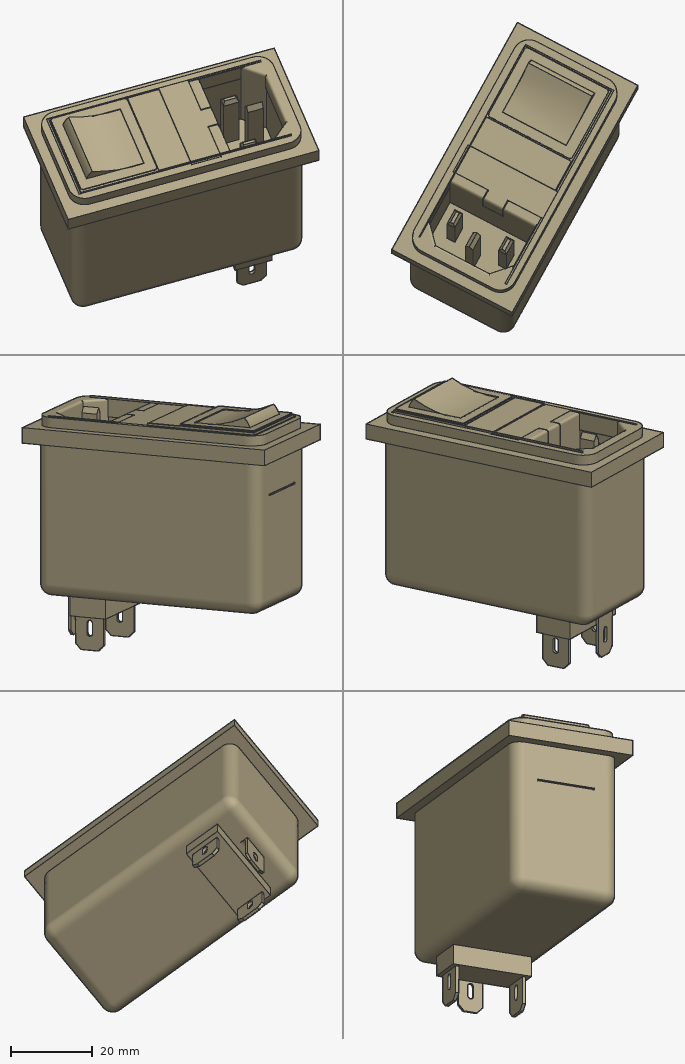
import cadquery as cq


flange_width, flange_length, flange_thickness = 33.4, 64.8, 3.9
bezel_width, bezel_length, bezel_radius = 27.85, 59.7, 4.1
bezel_top = 2.5
can_width, can_length, can_bottom = 28.3, 59.35, -42.25
can_radius = 3.0
rear_slot_width, rear_slot_height, rear_slot_depth = 15.15, 0.4, 0.65
rear_slot_z = -13.15

block_width, block_length, block_height = 21.1, 9.6, 5.05
pin_row_y = 17.6
block_bottom = can_bottom - block_height
line_terminal_x, line_terminal_bottom = 9.0, -55.7
line_terminal_width, line_terminal_thickness = 7.5, 0.85
line_slot_z = -50.2
earth_terminal_y, earth_terminal_bottom = 25.7, -54.0
earth_terminal_width, earth_terminal_thickness = 6.55, 0.65
earth_slot_z = -48.6
terminal_chamfer = 1.5
terminal_slot_length, terminal_slot_width = 3.95, 1.5
earth_bend_radius = 1.5

cavity_half_width = 11.8
cavity_front_y, cavity_back_y = 11.35, 26.9
cavity_corner_x, cavity_corner_y = 4.35, 4.7
cavity_floor = -18.15
cavity_step_z = -1.95
cavity_side_step, cavity_back_step = 0.05, 0.25
mouth_radius = 0.65
pin_length_y = 4.0
line_pin_x, line_pin_width, line_pin_top = 7.1, 2.15, -2.0
line_pin_tip_width, line_pin_tip_length, line_pin_tip_height = 0.85, 3.05, 1.1
earth_pin_y, earth_pin_width, earth_pin_top = 21.45, 2.0, 2.85
earth_pin_tip_height = 1.4

pocket_floor = -3.9
insert_half_width = 12.0
insert_front_y, insert_back_y = -27.5, 1.0
insert_top = 3.0
rail_end_y = 26.95
label_recess_depth, label_recess_front_y = 0.1, -7.25
groove_side_x, groove_front_y, groove_end_y = -12.45, -27.9, 27.35
groove_depth = 0.1

drawer_half_width, drawer_back_y = 12.45, 8.6
nose_half_width, nose_gap = 2.65, 0.2

frame_half_width, frame_top = 11.6, 3.45
frame_front_y, frame_back_y = -27.3, -7.5
frame_overhang, frame_corner = 0.25, 0.45
rocker_width, rocker_front_y, rocker_back_y = 17.6, -24.95, -10.1
rocker_low_z = 3.2
rocker_dip_y = -15.75
rocker_crest_y, rocker_crest_z = -23.45, 5.75
rocker_nose_y, rocker_nose_z = -24.4, 4.6


def box(x_range, y_range, z_range):
    """Block spanning the given (low, high) ranges."""
    sides = [high - low for low, high in (x_range, y_range, z_range)]
    corner = (x_range[0], y_range[0], z_range[0])
    return cq.Workplane("XY").box(*sides, centered=False).translate(corner)


def outer_shell():
    """Flange with the raised bezel above it and the round-edged can below it."""
    flange = cq.Workplane("XY").rect(flange_width, flange_length).extrude(-flange_thickness)
    bezel = cq.Workplane("XY").rect(bezel_width, bezel_length).extrude(bezel_top)
    bezel = bezel.edges("|Z").fillet(bezel_radius)
    can = cq.Workplane("XY").rect(can_width, can_length).extrude(can_bottom)
    can = can.edges("|Z or <Z").fillet(can_radius)
    return flange.union(bezel).union(can)


def rear_slot():
    """Thin slot across the -Y wall of the can."""
    wall_y = -can_length / 2
    slot = cq.Workplane("XY").box(rear_slot_width, 2 * rear_slot_depth, rear_slot_height)
    return slot.translate((0, wall_y, rear_slot_z))


def terminal_blade(plane, width, thickness, bottom, slot_z):
    """Blade hanging from the can, with a chamfered end and a slotted hole."""
    height = can_bottom - bottom
    middle_z = (can_bottom + bottom) / 2
    blade = cq.Workplane(plane).center(0, middle_z).rect(width, height).extrude(thickness / 2, both=True)
    lower_edges = blade.faces("<Z").edges("|Y" if plane == "XZ" else "|X")
    blade = lower_edges.chamfer(terminal_chamfer)
    hole = cq.Workplane(plane).center(0, slot_z).slot2D(terminal_slot_length, terminal_slot_width, 90)
    return blade.cut(hole.extrude(thickness, both=True))


def earth_bend():
    """Concave web between the earth blade and the underside of the can."""
    blade_y = earth_terminal_y - earth_terminal_thickness / 2
    corner = (blade_y, can_bottom)
    centre = (blade_y - earth_bend_radius, can_bottom - earth_bend_radius)
    web = cq.Workplane("YZ").moveTo(*corner).lineTo(centre[0], can_bottom)
    web = web.radiusArc((blade_y, centre[1]), earth_bend_radius).close()
    return web.extrude(earth_terminal_width / 2, both=True)


def terminals():
    """Terminal block, two outer blades and the bent earth blade."""
    block_y = (pin_row_y - block_length / 2, pin_row_y + block_length / 2)
    group = box((-block_width / 2, block_width / 2), block_y, (block_bottom, can_bottom))
    line_blade = terminal_blade(
        "YZ", line_terminal_width, line_terminal_thickness, line_terminal_bottom, line_slot_z
    )
    for side in (-1, 1):
        group = group.union(line_blade.translate((side * line_terminal_x, pin_row_y, 0)))
    earth_blade = terminal_blade(
        "XZ", earth_terminal_width, earth_terminal_thickness, earth_terminal_bottom, earth_slot_z
    )
    return group.union(earth_blade.translate((0, earth_terminal_y, 0))).union(earth_bend())


def inlet_prism(low_z, high_z, side_step=0.0, back_step=0.0):
    """Inlet cross-section with two cut corners at +Y; the steps move its walls outwards."""
    half_width = cavity_half_width + side_step
    back_y = cavity_back_y + back_step
    slope = cavity_corner_y / cavity_corner_x
    shoulder_x = cavity_half_width - cavity_corner_x - back_step / slope
    shoulder_y = cavity_back_y - cavity_corner_y - side_step * slope
    points = [
        (-half_width, cavity_front_y),
        (half_width, cavity_front_y),
        (half_width, shoulder_y),
        (shoulder_x, back_y),
        (-shoulder_x, back_y),
        (-half_width, shoulder_y),
    ]
    return cq.Workplane("XY").workplane(offset=low_z).polyline(points).close().extrude(high_z - low_z)


def inlet_cavity():
    """Space for the mains plug, widening slightly below the step."""
    upper = inlet_prism(cavity_step_z, bezel_top)
    lower = inlet_prism(cavity_floor, cavity_step_z, cavity_side_step, cavity_back_step)
    return upper.union(lower)


def round_inlet_mouth(shell):
    """Round the inlet's top edges, except along its two straight sides."""
    shoulder_middle = cavity_half_width - cavity_corner_x / 2, cavity_back_y - cavity_corner_y / 2
    middles = [
        (0, cavity_front_y),
        (0, cavity_back_y),
        shoulder_middle,
        (-shoulder_middle[0], shoulder_middle[1]),
    ]
    edges = cq.Workplane("XY")
    for x, y in middles:
        edges = edges.add(shell.edges(cq.selectors.NearestToPointSelector((x, y, bezel_top))))
    return shell.newObject(edges.vals()).fillet(mouth_radius)


def line_pin():
    """Line or neutral pin with a tip tapering to a small flat."""
    shoulder_z = line_pin_top - line_pin_tip_height
    shank = cq.Workplane("XY").workplane(offset=cavity_floor).rect(line_pin_width, pin_length_y)
    shank = shank.extrude(shoulder_z - cavity_floor)
    tip = cq.Workplane("XY").workplane(offset=shoulder_z).rect(line_pin_width, pin_length_y)
    tip = tip.workplane(offset=line_pin_tip_height).rect(line_pin_tip_width, line_pin_tip_length).loft()
    return shank.union(tip)


def earth_pin():
    """Longer pin whose tip is a ridge along Y."""
    half_width = earth_pin_width / 2
    shoulder_z = earth_pin_top - earth_pin_tip_height
    profile = [
        (-half_width, cavity_floor),
        (half_width, cavity_floor),
        (half_width, shoulder_z),
        (0, earth_pin_top),
        (-half_width, shoulder_z),
    ]
    pin = cq.Workplane("XZ").polyline(profile).close().extrude(pin_length_y / 2, both=True)
    return pin.translate((0, earth_pin_y, 0))


def drawer_space(nose_clearance):
    """Drawer panel with its nose reaching to the inlet; clearance widens the nose."""
    nose_x = nose_half_width + nose_clearance
    panel = box(
        (-drawer_half_width, drawer_half_width),
        (insert_back_y, drawer_back_y),
        (pocket_floor, bezel_top),
    )
    nose = box((-nose_x, nose_x), (drawer_back_y, cavity_front_y), (pocket_floor, bezel_top))
    return panel.union(nose)


def groove():
    """Shallow groove along the -X side of the opening, turning along its -Y end."""
    heights = (bezel_top - groove_depth, bezel_top)
    side = box((groove_side_x, -insert_half_width), (groove_front_y, groove_end_y), heights)
    front = box((groove_side_x, insert_half_width), (groove_front_y, insert_front_y), heights)
    return side.union(front)


def insert_space(top):
    """Rectangular block that fills the insert's pocket up to the given level."""
    sides = (-insert_half_width, insert_half_width)
    return box(sides, (insert_front_y, insert_back_y), (pocket_floor, top))


def make_housing():
    """Shell with inlet, pins and terminals, and pockets for the other bodies."""
    shell = round_inlet_mouth(outer_shell().cut(inlet_cavity()))
    shell = shell.cut(drawer_space(nose_gap)).cut(insert_space(bezel_top))
    shell = shell.cut(groove()).cut(rear_slot())
    for side in (-1, 1):
        shell = shell.union(line_pin().translate((side * line_pin_x, pin_row_y, 0)))
    return shell.union(earth_pin()).union(terminals())


def make_drawer():
    """Fuse drawer, flush with the bezel and rounded at its nose like the inlet mouth."""
    return drawer_space(0).faces(">Y").edges(">Z").fillet(mouth_radius)


def frame_neck():
    """Part of the switch frame that sits inside the insert."""
    neck_x = frame_half_width - frame_overhang
    neck_y = (frame_front_y + frame_overhang, frame_back_y - frame_overhang)
    neck = box((-neck_x, neck_x), neck_y, (pocket_floor, insert_top))
    return neck.edges("|Z").chamfer(frame_corner)


def make_insert():
    """Raised cover around the switch frame, with a thin rail running along the inlet."""
    body = insert_space(insert_top).cut(frame_neck())
    label_sides = (-cavity_half_width, cavity_half_width)
    label_ends = (label_recess_front_y, insert_back_y)
    body = body.cut(box(label_sides, label_ends, (insert_top - label_recess_depth, insert_top)))
    rail_sides = (cavity_half_width, insert_half_width)
    return body.union(box(rail_sides, (label_recess_front_y, rail_end_y), (bezel_top, insert_top)))


def rocker_opening():
    """Rectangular opening for the rocker through the frame."""
    sides = (-rocker_width / 2, rocker_width / 2)
    return box(sides, (rocker_front_y, rocker_back_y), (pocket_floor, frame_top))


def make_switch_frame():
    """Frame whose rim flares out over the insert."""
    rim = box(
        (-frame_half_width, frame_half_width),
        (frame_front_y, frame_back_y),
        (insert_top, frame_top),
    )
    rim = rim.edges("|Z").chamfer(frame_corner).faces("<Z").chamfer(frame_overhang)
    return frame_neck().union(rim).cut(rocker_opening())


def make_rocker():
    """Rocker with a hollow face rising to a crest and a rounded -Y nose."""
    profile = cq.Workplane("YZ").moveTo(rocker_front_y, pocket_floor).lineTo(rocker_back_y, pocket_floor)
    profile = profile.lineTo(rocker_back_y, rocker_low_z)
    profile = profile.threePointArc((rocker_dip_y, frame_top), (rocker_crest_y, rocker_crest_z))
    profile = profile.threePointArc((rocker_nose_y, rocker_nose_z), (rocker_front_y, frame_top))
    return profile.close().extrude(rocker_width / 2, both=True)


housing = make_housing()
drawer = make_drawer()
insert = make_insert()
switch_frame = make_switch_frame()
rocker = make_rocker()

result = cq.Compound.makeCompound(
    [housing.val(), drawer.val(), insert.val(), switch_frame.val(), rocker.val()]
)